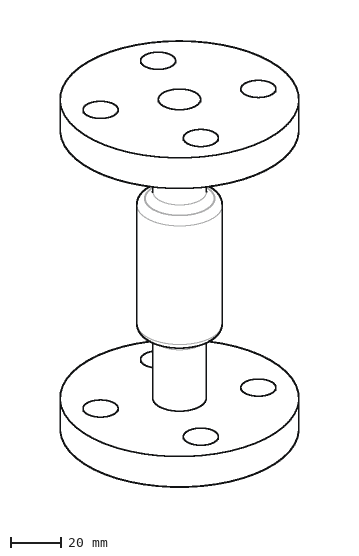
import cadquery as cq
import math

length = 150.0
flange_diameter = 95.0
flange_thickness = 14.0

bolt_circle_diameter = 65.0
bolt_hole_diameter = 14.0
bolt_hole_count = 4
first_bolt_angle = 45

pipe_diameter = 21.3
bore_diameter = 16.8

body_diameter = 34.0
body_length = 60.0
body_edge_radius = 3.0
collar_radius = 3.0


def make_flange():
    """Round flange on the XY plane, with its bolt holes."""
    return (
        cq.Workplane("XY")
        .circle(flange_diameter / 2)
        .extrude(flange_thickness)
        .faces(">Z")
        .workplane()
        .polarArray(bolt_circle_diameter / 2, first_bolt_angle, 360, bolt_hole_count)
        .hole(bolt_hole_diameter)
    )


def make_body():
    """Cylinder centred on the origin, with rounded end edges."""
    return (
        cq.Workplane("XY")
        .cylinder(body_length, body_diameter / 2)
        .edges("%CIRCLE")
        .fillet(body_edge_radius)
    )


def make_collar():
    """Ring on the upper end of the body, flaring from the pipe with a concave quarter round."""
    pipe_radius = pipe_diameter / 2
    base_z = body_length / 2
    flare_top = (pipe_radius, base_z + collar_radius)
    flare_foot = (pipe_radius + collar_radius, base_z)
    flare_offset = collar_radius * (1 - math.sqrt(0.5))
    flare_middle = (pipe_radius + flare_offset, base_z + flare_offset)
    return (
        cq.Workplane("XZ")
        .moveTo(bore_diameter / 2, base_z)
        .lineTo(*flare_foot)
        .threePointArc(flare_middle, flare_top)
        .lineTo(bore_diameter / 2, base_z + collar_radius)
        .close()
        .revolve(360, (0, 0, 0), (0, 1, 0))
    )


pipe = cq.Workplane("XY").cylinder(length - 2 * flange_thickness, pipe_diameter / 2)
bore = cq.Workplane("XY").cylinder(length, bore_diameter / 2)
top_flange = make_flange().translate((0, 0, length / 2 - flange_thickness))
top_collar = make_collar()

result = pipe.union(make_body())
for upper_feature in (top_flange, top_collar):
    result = result.union(upper_feature)
    result = result.union(upper_feature.mirror("XY"))
result = result.cut(bore)